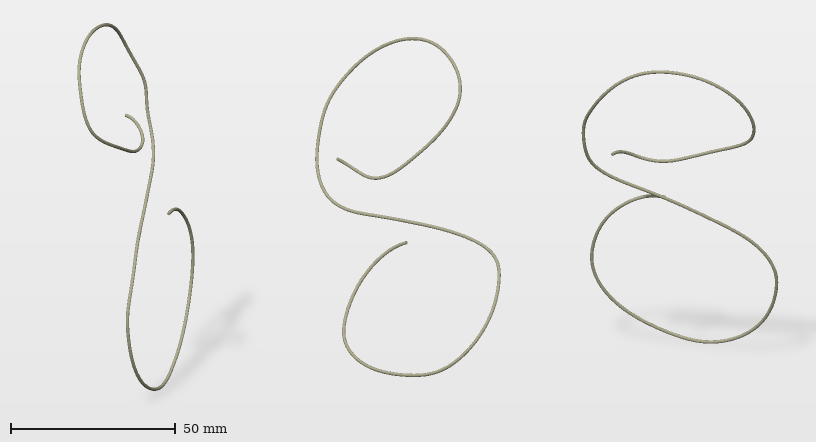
import cadquery as cq

WIRE_DIAMETER = 1.0

CENTRELINE = [
    (-9.0, 18.5, 21.8),
    (-3.3, 15.3, 19.4),
    (-0.9, 11.6, 16.7),
    (-0.2, 6.2, 15.6),
    (-0.2, -2.8, 17.9),
    (-0.7, -12.3, 22.1),
    (-2.5, -19.5, 26.0),
    (-4.1, -23.3, 29.6),
    (-5.8, -24.7, 34.8),
    (-7.6, -23.5, 41.1),
    (-9.8, -19.2, 48.1),
    (-10.9, -12.3, 52.9),
    (-11.1, -1.5, 55.1),
    (-10.7, 8.6, 53.4),
    (-10.5, 15.6, 49.2),
    (-10.2, 20.6, 44.1),
    (-8.4, 25.3, 36.4),
    (-6.3, 27.8, 29.4),
    (-5.7, 27.8, 22.1),
    (-3.5, 26.0, 14.4),
    (-1.2, 21.6, 9.4),
    (1.3, 11.9, 4.0),
    (3.9, -0.1, -2.0),
    (6.0, -10.8, -8.0),
    (8.1, -19.5, -14.0),
    (9.1, -25.3, -20.0),
    (9.4, -28.2, -26.1),
    (9.7, -28.3, -33.1),
    (10.2, -25.2, -42.8),
    (10.8, -19.4, -49.8),
    (11.5, -5.5, -55.3),
    (10.7, 7.2, -52.1),
    (9.6, 17.8, -46.1),
    (8.8, 24.8, -38.8),
    (8.7, 28.4, -30.1),
    (9.1, 28.0, -22.1),
    (9.4, 24.6, -14.0),
    (9.4, 18.8, -7.7),
    (9.6, 11.9, -4.0),
    (9.7, 5.9, -3.7),
]


def bent_wire(points, diameter):
    """Sweep a round section along a smooth curve through the points."""
    path = cq.Wire.assembleEdges([cq.Edge.makeSpline([cq.Vector(*p) for p in points])])
    start_plane = cq.Plane(origin=points[0], normal=path.tangentAt(0))
    return cq.Workplane(start_plane).circle(diameter / 2).sweep(path)


result = bent_wire(CENTRELINE, WIRE_DIAMETER)